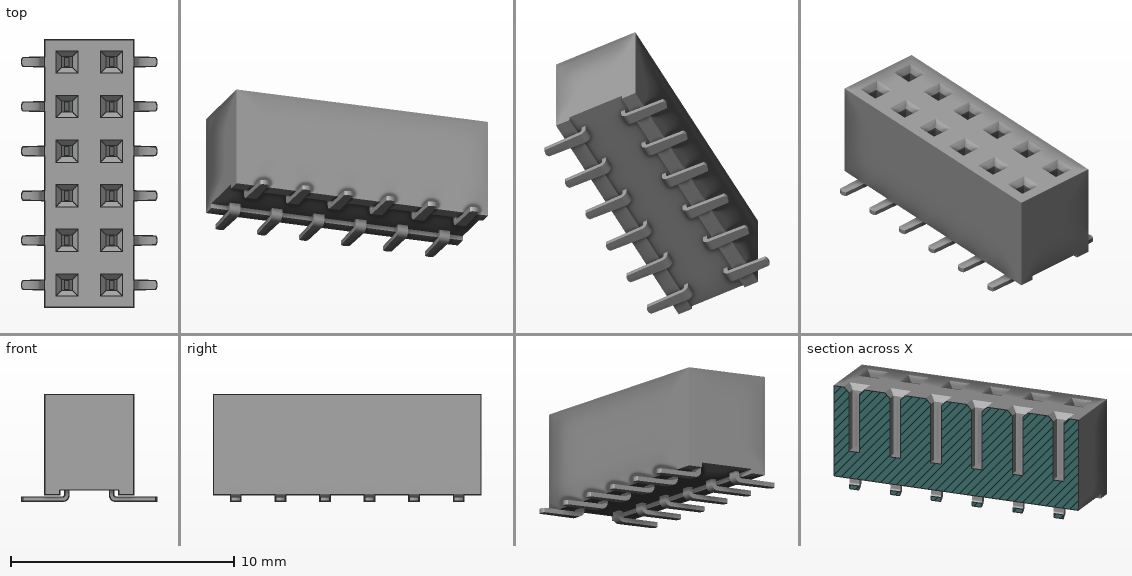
import cadquery as cq
import math

STRIP_THICKNESS = 0.2

ROWS = 6
BODY_LENGTH = 12.0
PITCH = BODY_LENGTH / ROWS
COLUMN_X = PITCH / 2

BODY_WIDTH = 2 * PITCH
TOP_Z = 4.8
BODY_BOTTOM_Z = 0.3
CHANNEL_WIDTH = 2.64
CHANNEL_DEPTH = 0.2
CHANNEL_TOP_Z = BODY_BOTTOM_Z + CHANNEL_DEPTH

MOUTH_SIZE = PITCH / 2
SOCKET_SIZE = MOUTH_SIZE / 2
FUNNEL_DEPTH = (MOUTH_SIZE - SOCKET_SIZE) / 2
SOCKET_DEPTH = 3.0
SOCKET_FLOOR_Z = TOP_Z - SOCKET_DEPTH

TROUGH_WIDTH = STRIP_THICKNESS
TROUGH_BOTTOM_LENGTH = 0.41
TROUGH_DEPTH = (SOCKET_SIZE - TROUGH_BOTTOM_LENGTH) / 2

LEG_SPAN = 6.1
BEND_INNER_RADIUS = 0.1
BEND_OUTER_RADIUS = BEND_INNER_RADIUS + STRIP_THICKNESS
BASE_WIDTH = 0.49
TIP_WIDTH = 0.41
TIP_ROUND_DEPTH = 0.07

TIP_X = LEG_SPAN / 2
UPRIGHT_INNER_X = COLUMN_X - STRIP_THICKNESS / 2
UPRIGHT_OUTER_X = UPRIGHT_INNER_X + STRIP_THICKNESS
BEND_X = UPRIGHT_INNER_X + BEND_OUTER_RADIUS


def make_housing():
    """Rectangular block with a shallow channel along its underside."""
    block = cq.Workplane("XY", origin=(0, 0, BODY_BOTTOM_Z)).rect(BODY_WIDTH, BODY_LENGTH)
    block = block.extrude(TOP_Z - BODY_BOTTOM_Z)
    channel = cq.Workplane("XY", origin=(0, 0, BODY_BOTTOM_Z)).rect(CHANNEL_WIDTH, BODY_LENGTH)
    return block.cut(channel.extrude(CHANNEL_DEPTH))


def make_socket(x, y):
    """Square blind hole with a funnel-shaped mouth and a trough in its floor."""
    hole = cq.Workplane("XY", origin=(x, y, SOCKET_FLOOR_Z)).rect(SOCKET_SIZE, SOCKET_SIZE)
    hole = hole.extrude(SOCKET_DEPTH)
    funnel = (
        cq.Workplane("XY", origin=(x, y, TOP_Z - FUNNEL_DEPTH))
        .rect(SOCKET_SIZE, SOCKET_SIZE)
        .workplane(offset=FUNNEL_DEPTH)
        .rect(MOUTH_SIZE, MOUTH_SIZE)
        .loft(ruled=True)
    )
    trough = (
        cq.Workplane("XY", origin=(x, y, SOCKET_FLOOR_Z - TROUGH_DEPTH))
        .rect(TROUGH_WIDTH, TROUGH_BOTTOM_LENGTH)
        .workplane(offset=TROUGH_DEPTH)
        .rect(TROUGH_WIDTH, SOCKET_SIZE)
        .loft(ruled=True)
    )
    return hole.union(funnel).union(trough)


def make_contact():
    """Contact of the +X column at y = 0: upright, bend and tapered leg with a rounded tip."""
    bend_center_z = BEND_OUTER_RADIUS
    diagonal = math.sqrt(0.5)
    strip = (
        cq.Workplane("XZ")
        .moveTo(UPRIGHT_INNER_X, CHANNEL_TOP_Z)
        .lineTo(UPRIGHT_INNER_X, bend_center_z)
        .threePointArc(
            (BEND_X - BEND_OUTER_RADIUS * diagonal, bend_center_z - BEND_OUTER_RADIUS * diagonal),
            (BEND_X, 0),
        )
        .lineTo(TIP_X, 0)
        .lineTo(TIP_X, STRIP_THICKNESS)
        .lineTo(BEND_X, STRIP_THICKNESS)
        .threePointArc(
            (BEND_X - BEND_INNER_RADIUS * diagonal, bend_center_z - BEND_INNER_RADIUS * diagonal),
            (UPRIGHT_OUTER_X, bend_center_z),
        )
        .lineTo(UPRIGHT_OUTER_X, CHANNEL_TOP_Z)
        .close()
        .extrude(BASE_WIDTH / 2, both=True)
    )
    plan = (
        cq.Workplane("XY")
        .moveTo(UPRIGHT_INNER_X, -BASE_WIDTH / 2)
        .lineTo(BEND_X, -BASE_WIDTH / 2)
        .lineTo(TIP_X - TIP_ROUND_DEPTH, -TIP_WIDTH / 2)
        .threePointArc((TIP_X, 0), (TIP_X - TIP_ROUND_DEPTH, TIP_WIDTH / 2))
        .lineTo(BEND_X, BASE_WIDTH / 2)
        .lineTo(UPRIGHT_INNER_X, BASE_WIDTH / 2)
        .close()
        .extrude(CHANNEL_TOP_Z)
    )
    return strip.intersect(plan)


right_contact = make_contact()
left_contact = right_contact.mirror("YZ")
row_positions = [(row - (ROWS - 1) / 2) * PITCH for row in range(ROWS)]

result = make_housing()
for row_y in row_positions:
    for column_x in (-COLUMN_X, COLUMN_X):
        result = result.cut(make_socket(column_x, row_y))
    for contact in (left_contact, right_contact):
        result = result.union(contact.translate((0, row_y, 0)))